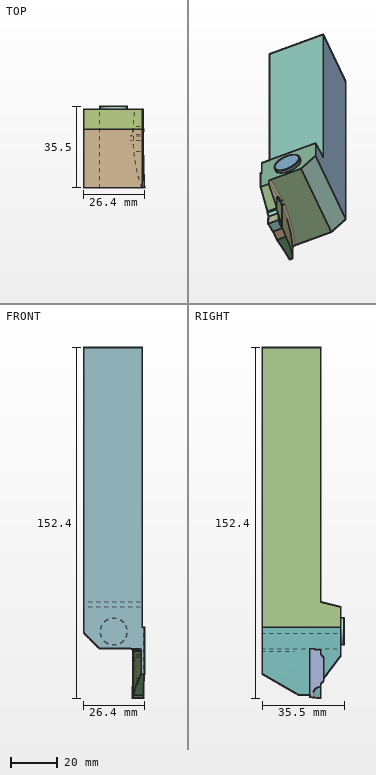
import cadquery as cq
import math


overall_length = 152.4
shank_size = 25.4
foot_depth = 34.1
foot_bottom = 21.6
foot_step_top = 41.95
foot_step_angle = 14.0
foot_chamfer = 6.8

pad_top = 31.0
pad_min_x = 25.75
pad_front_x = 26.39

blade_min_x = 21.25
blade_front_x = 24.95
blade_bottom = 1.45
blade_front_bottom = 10.6
blade_flat_start = 15.8
jaw_bottom = 18.5
blade_fillet = 1.0

seat_y = 20.7
rake_y = shank_size
insert_min_x = 21.4
insert_max_x = pad_min_x
insert_top = foot_bottom
insert_heel_height = 0.57
notch_depth = 2.2
notch_height = 0.5
bulge = 1.3
bulge_bottom = 7.6
bulge_top = 17.8
jaw_tip_z = 8.7

head_min_x = 21.15
head_max_x = 26.0
head_height = 5.1
head_depth = 3.2
head_round_reach = 0.77

screw_diameter = 11.86
screw_x = 12.9
screw_z = 29.15
screw_top_y = 35.5
screw_chamfer = 0.2

slack = 0.5

arc_apex_y = (seat_y + rake_y) / 2
foot_step_bottom = foot_step_top - (foot_depth - shank_size) * math.tan(math.radians(foot_step_angle))


def plan_curve_x(y, apex_x, front_x):
    """X of the circular plan curve that has its lowest X at the apex and meets front_x at Y = 0."""
    rise = front_x - apex_x
    radius = (arc_apex_y**2 + rise**2) / (2 * rise)
    return apex_x + radius - math.sqrt(radius**2 - (y - arc_apex_y) ** 2)


def yz_prism(outline, x_start, x_end):
    """Extrude a closed Y-Z outline from x_start to x_end."""
    return cq.Workplane("YZ", origin=(x_start, 0, 0)).polyline(outline).close().extrude(x_end - x_start)


def make_shank_and_foot():
    outline = [
        (0, foot_bottom),
        (0, overall_length),
        (shank_size, overall_length),
        (shank_size, foot_step_top),
        (foot_depth, foot_step_bottom),
        (foot_depth, foot_bottom),
    ]
    body = yz_prism(outline, 0, shank_size)
    return body.faces("<Z").edges("<X").chamfer(foot_chamfer)


def make_blade_and_pad():
    """Plan section between the two curved faces, trimmed to the side outline of pad and blade."""
    back_inner_x = plan_curve_x(foot_depth, blade_min_x, blade_front_x)
    back_outer_x = plan_curve_x(foot_depth, pad_min_x, pad_front_x)
    section = (
        cq.Workplane("XY")
        .moveTo(blade_front_x, 0)
        .lineTo(pad_front_x, 0)
        .threePointArc((pad_min_x, arc_apex_y), (back_outer_x, foot_depth))
        .lineTo(back_inner_x, foot_depth)
        .threePointArc((blade_min_x, arc_apex_y), (blade_front_x, 0))
        .close()
        .extrude(pad_top)
    )
    outline = [
        (0, pad_top),
        (0, blade_front_bottom),
        (blade_flat_start, blade_bottom),
        (seat_y, blade_bottom),
        (rake_y + bulge, jaw_tip_z),
        (foot_depth, jaw_bottom),
        (foot_depth, pad_top),
    ]
    return section.intersect(yz_prism(outline, 0, pad_front_x))


def make_screw_head():
    """Round head standing proud of the +Y face of the foot."""
    return (
        cq.Workplane("XZ", origin=(screw_x, screw_top_y, screw_z))
        .circle(screw_diameter / 2)
        .extrude(screw_top_y - foot_depth)
        .faces(">Y")
        .chamfer(screw_chamfer)
    )


def make_insert_bar(x_start, x_end):
    """Bar of the insert, with the bulge that the jaw of the blade grips and a notch at its top."""
    outline = [
        (seat_y, insert_top),
        (seat_y, insert_heel_height),
        (rake_y, 0),
        (rake_y, bulge_bottom - bulge),
        (rake_y + bulge, bulge_bottom),
        (rake_y + bulge, bulge_top),
        (rake_y, bulge_top + bulge),
        (rake_y, insert_top - notch_height),
        (rake_y - notch_depth, insert_top - notch_height),
        (rake_y - notch_depth - notch_height, insert_top),
    ]
    return yz_prism(outline, x_start, x_end)


def make_insert_head():
    """Tapered cutting head with a rounded upper boundary and a relieved underside."""
    head_back_y = rake_y - head_depth
    head_back_z = insert_heel_height * head_depth / (rake_y - seat_y)
    plan_taper = cq.Workplane("XY").polyline(
        [
            (head_min_x, rake_y),
            (head_max_x, rake_y),
            (insert_max_x, head_back_y),
            (insert_min_x, head_back_y),
        ]
    )
    taper = plan_taper.close().extrude(head_height)
    round_y = rake_y - head_round_reach * head_depth
    round_z = head_back_z + head_round_reach * (head_height - head_back_z)
    side = (
        cq.Workplane("YZ")
        .moveTo(rake_y, 0)
        .lineTo(rake_y, head_height)
        .threePointArc((round_y, round_z), (head_back_y, head_back_z))
        .close()
        .extrude(head_max_x)
    )
    return taper.intersect(side)


def make_holder():
    """Shank, foot, blade and screw head as one body, with the slot that receives the insert."""
    holder = make_shank_and_foot().union(make_blade_and_pad())
    blade_root = cq.selectors.BoxSelector(
        (blade_min_x - slack, 0, foot_bottom - slack),
        (blade_front_x + slack, foot_depth, foot_bottom + slack),
    )
    holder = holder.edges(blade_root).fillet(blade_fillet)
    insert_slot = make_insert_bar(0, pad_front_x)
    return holder.cut(insert_slot).union(make_screw_head())


holder = make_holder()
insert = make_insert_bar(insert_min_x, insert_max_x).union(make_insert_head())

result = cq.Compound.makeCompound([holder.solids().val(), insert.solids().val()])